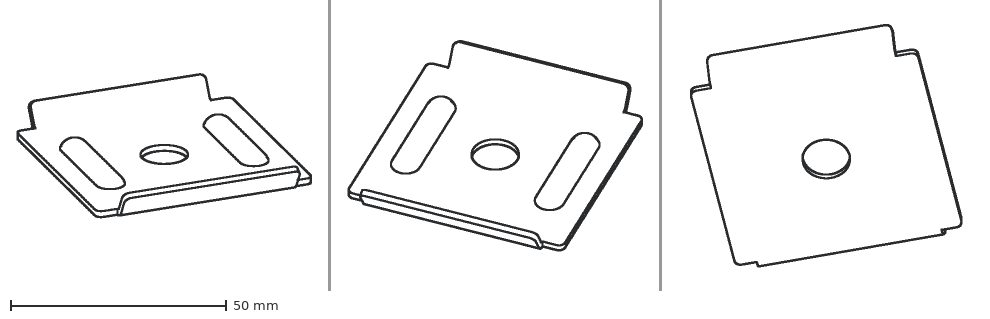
import cadquery as cq
import math

overall_width = 60.9
plate_width = 50.95
plate_length = 54.0
thickness = 1.5
corner_radius = 1.5
hole_diameter = 11.0

flange_length = 43.95
bend_angle = 60.0
inner_bend_radius = 1.05
outer_bend_radius = inner_bend_radius + thickness

bead_straight = 22.0
bead_spacing = 36.0
bead_half_width = 3.5
bead_height = 2.5
bead_radius = (bead_half_width**2 + bead_height**2) / (2 * bead_height)
bead_axis_z = thickness + bead_height - bead_radius


def make_plate():
    return (
        cq.Workplane("XY")
        .rect(plate_width, plate_length)
        .extrude(thickness)
        .edges("|Z")
        .fillet(corner_radius)
    )


def make_flange():
    """Flange on the +X side: a bend followed by a straight leg with rounded corners."""
    angle = math.radians(bend_angle)
    bend_x = plate_width / 2
    bend_z = outer_bend_radius

    def on_bend(radius, turn):
        return bend_x + radius * math.sin(turn), bend_z - radius * math.cos(turn)

    outer_end = on_bend(outer_bend_radius, angle)
    inner_end = on_bend(inner_bend_radius, angle)
    leg_length = (overall_width / 2 - outer_end[0]) / math.cos(angle)
    leg_x = leg_length * math.cos(angle)
    leg_z = leg_length * math.sin(angle)

    profile = (
        cq.Workplane("XZ")
        .moveTo(bend_x, 0)
        .threePointArc(on_bend(outer_bend_radius, angle / 2), outer_end)
        .line(leg_x, leg_z)
        .lineTo(inner_end[0] + leg_x, inner_end[1] + leg_z)
        .lineTo(*inner_end)
        .threePointArc(on_bend(inner_bend_radius, angle / 2), (bend_x, thickness))
        .close()
    )
    flange = profile.extrude(flange_length / 2, both=True)

    tip_face = flange.faces(cq.selectors.DirectionMinMaxSelector(
        cq.Vector(math.cos(angle), 0, math.sin(angle)), True))
    return tip_face.edges("not |Y").fillet(corner_radius)


def make_bead(y):
    """Round bar with ball ends, trimmed so only its upper part stands above the plate."""
    half_straight = bead_straight / 2
    bar = cq.Workplane("YZ").circle(bead_radius).extrude(half_straight, both=True)
    for x in (-half_straight, half_straight):
        bar = bar.union(cq.Workplane("XY").sphere(bead_radius).translate((x, 0, 0)))
    bar = bar.translate((0, y, bead_axis_z))
    above_bottom = cq.Workplane("XY").box(
        overall_width, plate_length, thickness + bead_height, centered=(True, True, False)
    )
    return bar.intersect(above_bottom)


flange = make_flange()
result = make_plate().union(flange).union(flange.mirror("YZ"))

for bead_y in (-bead_spacing / 2, bead_spacing / 2):
    result = result.union(make_bead(bead_y))

hole = cq.Workplane("XY").circle(hole_diameter / 2).extrude(thickness)
result = result.cut(hole)